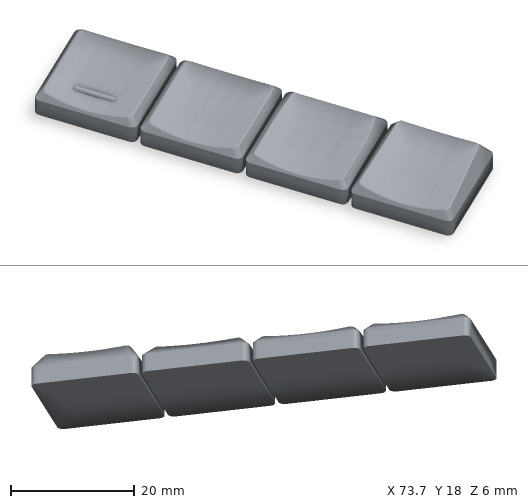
import cadquery as cq

cap_size = 18.0
half_size = cap_size / 2
cap_pitch = 18.55
wall_height = 3.25
corner_radius = 1.0
bevel_height = 2.95
cut_ceiling = 14.7

dish_radius = 38.3
dish_floor = 3.75
level_slope = 0.85
level_top_radius = 0.95
level_rim_fillet = 0.4

bar_radius = 0.55
bar_length = 7.5
bar_offset = -4.65
bar_end_fillet = 0.5

scoop_floor = 3.6
scoop_radius = 32.4
scoop_sweep = 30.0
scoop_slope = 0.95
scoop_top_radius = 0.3
scoop_rim_fillet = 0.2

ramp_front_floor = 3.75
ramp_back_floor = 5.7
ramp_front_radius = 38.3
ramp_back_radius = 45.65
ramp_side_slope = 0.65
ramp_front_slope = 0.8
ramp_back_slope = 0.65
ramp_top_radius = 0.9
ramp_rim_fillet = 0.3


def rounded_section(z, side_inset, front_inset, back_inset, radius):
    """Rounded rectangle at height z, pulled in from the cap outline on each side."""
    width = cap_size - 2 * side_inset
    depth = cap_size - front_inset - back_inset
    section = cq.Sketch().rect(width, depth).vertices().fillet(radius)
    return section.moved(cq.Location(cq.Vector(0, (front_inset - back_inset) / 2, z)))


def cap_blank(side_slope, front_slope, back_slope, top_radius):
    """Straight-walled block with a bevelled top; each slope is inset per unit of height."""
    wall = cq.Workplane("XY").placeSketch(rounded_section(0, 0, 0, 0, corner_radius)).extrude(wall_height)
    bevel_bottom = rounded_section(wall_height, 0, 0, 0, corner_radius)
    bevel_top = rounded_section(
        wall_height + bevel_height,
        side_slope * bevel_height,
        front_slope * bevel_height,
        back_slope * bevel_height,
        top_radius,
    )
    bevel = cq.Workplane("XY").placeSketch(bevel_bottom, bevel_top).loft(ruled=True)
    return wall.union(bevel)


def dish_profile(y, floor, radius):
    """Section of a dish cutter at y, parallel to XZ: an arc below, flat above."""
    edge_z = floor + radius - (radius**2 - half_size**2) ** 0.5
    return (
        cq.Workplane("XZ", origin=(0, y, 0))
        .moveTo(-half_size, edge_z)
        .threePointArc((0, floor), (half_size, edge_z))
        .lineTo(half_size, cut_ceiling)
        .lineTo(-half_size, cut_ceiling)
        .close()
    )


def straight_cutter(floor, y_back):
    """Cylindrical dish cutter from the front of the cap to y_back."""
    return dish_profile(y_back, floor, dish_radius).extrude(y_back + half_size)


def dish_edges(cap, y, z):
    """Edges around the dish face that passes closest to the point (0, y, z)."""
    return cap.faces(cq.NearestToPointSelector((0, y, z))).edges()


def level_cap():
    """Cap with a cylindrical dish running front to back."""
    blank = cap_blank(level_slope, level_slope, level_slope, level_top_radius)
    cap = blank.cut(straight_cutter(dish_floor, half_size))
    return dish_edges(cap, 0, dish_floor).fillet(level_rim_fillet)


def homing_cap():
    """Level cap with a round-ended bar half sunk in the dish."""
    bar = (
        cq.Workplane("YZ", origin=(-bar_length / 2, bar_offset, dish_floor))
        .circle(bar_radius)
        .extrude(bar_length)
        .edges()
        .fillet(bar_end_fillet)
    )
    return level_cap().union(bar)


def scooped_cap():
    """Cap whose dish is straight over the front half and curves up over the rear half."""
    blank = cap_blank(scoop_slope, scoop_slope, scoop_slope, scoop_top_radius)
    axis_z = scoop_floor + scoop_radius
    rear_cutter = dish_profile(0, scoop_floor, dish_radius).revolve(
        scoop_sweep, (-0.7, axis_z, 0), (0.7, axis_z, 0)
    )
    cap = blank.cut(straight_cutter(scoop_floor, 0).union(rear_cutter))

    front_edges = dish_edges(cap, -half_size / 2, scoop_floor).vals()
    rear_y = half_size / 2
    rear_z = axis_z - (scoop_radius**2 - rear_y**2) ** 0.5
    rear_edges = dish_edges(cap, rear_y, rear_z).vals()
    rim = [edge for edge in front_edges + rear_edges if abs(edge.Center().y) > scoop_rim_fillet]
    return cap.newObject(rim).fillet(scoop_rim_fillet)


def ramped_cap():
    """Tall cap whose dish climbs in a straight line from front to back."""
    blank = cap_blank(ramp_side_slope, ramp_front_slope, ramp_back_slope, ramp_top_radius)
    front_wire = dish_profile(-half_size, ramp_front_floor, ramp_front_radius).val()
    back_wire = dish_profile(half_size, ramp_back_floor, ramp_back_radius).val()
    cap = blank.cut(cq.Workplane(cq.Solid.makeLoft([front_wire, back_wire], True)))
    return dish_edges(cap, 0, (ramp_front_floor + ramp_back_floor) / 2).fillet(ramp_rim_fillet)


cap_row = [homing_cap(), level_cap(), scooped_cap(), ramped_cap()]
result = cq.Compound.makeCompound(
    [cap.translate((index * cap_pitch, 0, 0)).solids().val() for index, cap in enumerate(cap_row)]
)